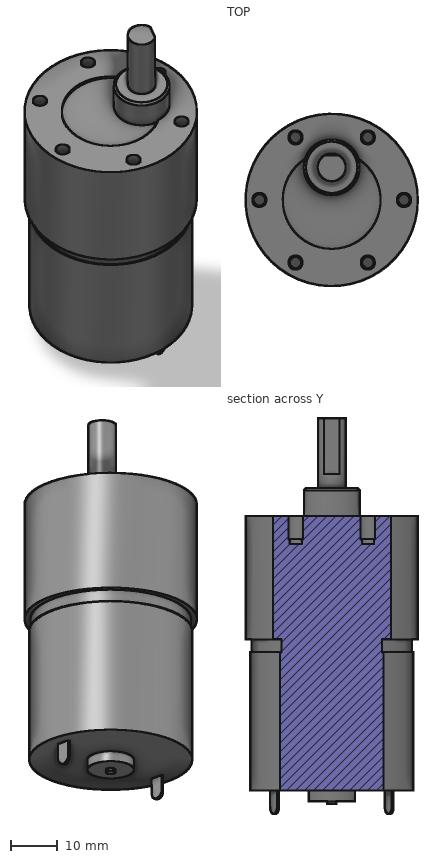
import cadquery as cq
import math


GEARBOX_DIAMETER = 37.0
GEARBOX_LENGTH = 26.5
RECESS_DIAMETER = 21.0
RECESS_DEPTH = 0.5

HOLE_COUNT = 6
HOLE_CIRCLE_DIAMETER = 31.0
HOLE_DIAMETER = 3.0
HOLE_DEPTH = 5.0
HOLE_END_DIAMETER = 2.5
HOLE_END_DEPTH = 6.0

SHAFT_OFFSET = 7.0
BOSS_DIAMETER = 12.0
BOSS_HEIGHT = 6.0
BOSS_CHAMFER = 0.5
SHAFT_DIAMETER = 6.0
SHAFT_LENGTH = 15.0
FLAT_DISTANCE = 2.5
FLAT_LENGTH = 12.0

NECK_DIAMETER = 34.5
NECK_LENGTH = 2.7
MOTOR_DIAMETER = 35.0
MOTOR_LENGTH = 29.7

REAR_BOSS_DIAMETER = 10.0
REAR_BOSS_HEIGHT = 2.3
REAR_SHAFT_DIAMETER = 2.0
REAR_SHAFT_LENGTH = 0.6

TERMINAL_RADIUS = 14.2
TERMINAL_ANGLES = (30.0, 210.0)
TERMINAL_WIDTH = 3.0
TERMINAL_THICKNESS = 0.5
TERMINAL_LENGTH = 5.0

NECK_TOP = -GEARBOX_LENGTH
MOTOR_TOP = NECK_TOP - NECK_LENGTH
MOTOR_BOTTOM = MOTOR_TOP - MOTOR_LENGTH
REAR_BOSS_BOTTOM = MOTOR_BOTTOM - REAR_BOSS_HEIGHT
SHAFT_TOP = BOSS_HEIGHT + SHAFT_LENGTH


def cylinder(diameter, bottom, top, y=0.0):
    """Upright cylinder between two levels, centred at (0, y)."""
    return cq.Workplane("XY", origin=(0, y, bottom)).circle(diameter / 2).extrude(top - bottom)


def make_hole_ring(diameter, depth):
    """Ring of cylinders reaching down from the gearbox front face."""
    return (
        cq.Workplane("XY")
        .polarArray(HOLE_CIRCLE_DIAMETER / 2, 0, 360, HOLE_COUNT)
        .circle(diameter / 2)
        .extrude(-depth)
    )


def make_gearbox():
    """Gearbox drum with a shallow round recess and a ring of blind, stepped mounting holes."""
    drum = cylinder(GEARBOX_DIAMETER, NECK_TOP, 0)
    recess = cylinder(RECESS_DIAMETER, -RECESS_DEPTH, 0)
    holes = make_hole_ring(HOLE_DIAMETER, HOLE_DEPTH)
    hole_ends = make_hole_ring(HOLE_END_DIAMETER, HOLE_END_DEPTH)
    return drum.cut(recess).cut(holes).cut(hole_ends)


def make_output():
    """Chamfered bearing boss, seated in the recess, carrying the D-shaped output shaft."""
    boss = cylinder(BOSS_DIAMETER, -RECESS_DEPTH, BOSS_HEIGHT, SHAFT_OFFSET)
    boss = boss.faces(">Z").chamfer(BOSS_CHAMFER)
    shaft = cylinder(SHAFT_DIAMETER, BOSS_HEIGHT, SHAFT_TOP, SHAFT_OFFSET)
    flat_cut = (
        cq.Workplane("XY", origin=(0, SHAFT_OFFSET + FLAT_DISTANCE, SHAFT_TOP))
        .rect(SHAFT_DIAMETER, SHAFT_DIAMETER)
        .extrude(-FLAT_LENGTH)
        .translate((0, SHAFT_DIAMETER / 2, 0))
    )
    return boss.union(shaft.cut(flat_cut))


def make_motor():
    """Neck, motor can, rear bearing boss and the end of the motor shaft."""
    neck = cylinder(NECK_DIAMETER, MOTOR_TOP, NECK_TOP)
    can = cylinder(MOTOR_DIAMETER, MOTOR_BOTTOM, MOTOR_TOP)
    rear_boss = cylinder(REAR_BOSS_DIAMETER, REAR_BOSS_BOTTOM, MOTOR_BOTTOM)
    rear_shaft = cylinder(REAR_SHAFT_DIAMETER, REAR_BOSS_BOTTOM - REAR_SHAFT_LENGTH, REAR_BOSS_BOTTOM)
    return neck.union(can).union(rear_boss).union(rear_shaft)


def make_terminal(angle):
    """Blade standing across the radius at the given angle, with a half-round tip."""
    direction = math.radians(angle)
    radial = (math.cos(direction), math.sin(direction), 0)
    foot = (TERMINAL_RADIUS * radial[0], TERMINAL_RADIUS * radial[1], MOTOR_BOTTOM)
    tangent = (-radial[1], radial[0], 0)
    half_width = TERMINAL_WIDTH / 2
    straight_end = half_width - TERMINAL_LENGTH
    return (
        cq.Workplane(cq.Plane(origin=foot, xDir=tangent, normal=radial))
        .moveTo(-half_width, 0)
        .lineTo(-half_width, straight_end)
        .threePointArc((0, -TERMINAL_LENGTH), (half_width, straight_end))
        .lineTo(half_width, 0)
        .close()
        .extrude(TERMINAL_THICKNESS / 2, both=True)
    )


result = make_gearbox().union(make_output()).union(make_motor())
for terminal_angle in TERMINAL_ANGLES:
    result = result.union(make_terminal(terminal_angle))